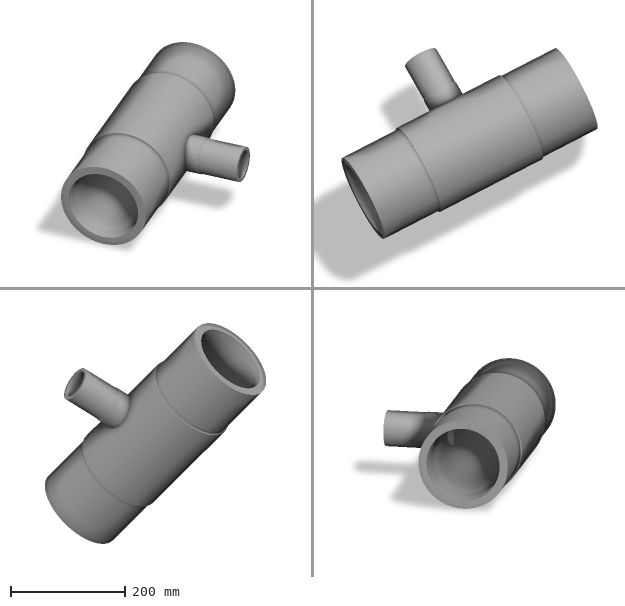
import cadquery as cq

run_length = 424.0
run_diameter = 160.0
run_bore = 130.5
sleeve_length = 203.5
sleeve_diameter = 165.8

overall_width = 262.0
branch_reach = overall_width - sleeve_diameter / 2
branch_diameter = 63.0
branch_bore = 51.5
collar_reach = 107.3
collar_diameter = 65.5


def run_cylinder(diameter, length):
    """Cylinder along Y, centred on the origin."""
    return cq.Workplane("XZ").circle(diameter / 2).extrude(length / 2, both=True)


def branch_cylinder(diameter, reach):
    """Cylinder along +X, starting on the main pipe axis."""
    return cq.Workplane("YZ").circle(diameter / 2).extrude(reach)


body = (
    run_cylinder(run_diameter, run_length)
    .union(run_cylinder(sleeve_diameter, sleeve_length))
    .union(branch_cylinder(collar_diameter, collar_reach))
    .union(branch_cylinder(branch_diameter, branch_reach))
)

result = (
    body.cut(run_cylinder(run_bore, run_length))
    .cut(branch_cylinder(branch_bore, branch_reach))
)